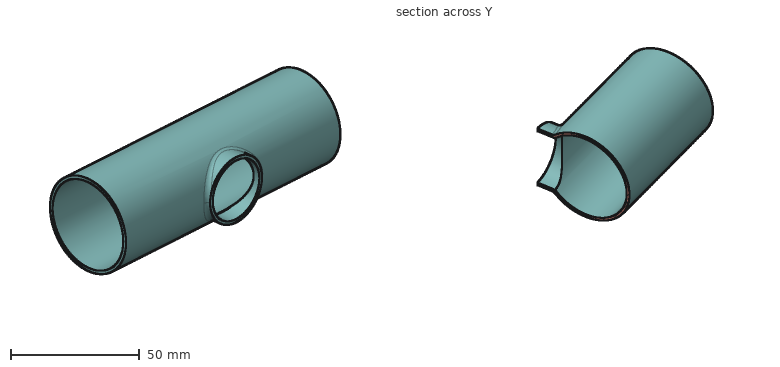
import cadquery as cq

wall = 1.5
run_diameter = 41.0
run_length = 120.0
branch_diameter = 29.0
branch_reach = 22.0
blend_radius = 2.0

run_bore = run_diameter - 2 * wall
branch_bore = branch_diameter - 2 * wall
untrimmed_reach = run_diameter


def run_cylinder(diameter):
    """Cylinder along Y, centred on the origin."""
    return cq.Workplane("XZ").circle(diameter / 2).extrude(run_length / 2, both=True)


def branch_cylinder(diameter):
    """Cylinder along +X, from the run axis to beyond the branch face."""
    return cq.Workplane("YZ").circle(diameter / 2).extrude(untrimmed_reach)


def blended_outside():
    """Solid outer form of the tee, with the joint between run and branch rounded."""
    outside = run_cylinder(run_diameter).union(branch_cylinder(branch_diameter))
    joint_zone = cq.selectors.BoxSelector(
        (0, -branch_diameter, -branch_diameter),
        (branch_reach, branch_diameter, branch_diameter),
        boundingbox=True,
    )
    return outside.edges(joint_zone).fillet(blend_radius)


def trim_branch(body):
    """Cut the branch square at its final reach."""
    surplus = cq.Workplane("YZ", origin=(branch_reach, 0, 0)).rect(untrimmed_reach, untrimmed_reach)
    return body.cut(surplus.extrude(untrimmed_reach))


def bore_tee(body):
    """Open the run from end to end and the branch into the run."""
    return body.cut(run_cylinder(run_bore)).cut(branch_cylinder(branch_bore))


result = bore_tee(trim_branch(blended_outside())).solids()